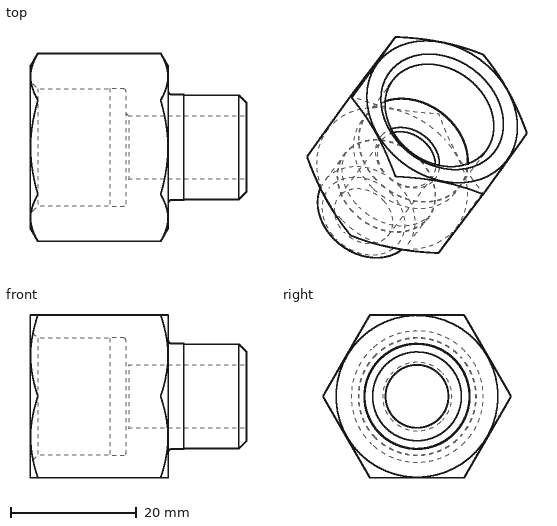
import cadquery as cq
import math

HEX_SIDES = 6
HEX_ACROSS_FLATS = 26.0
HEX_LENGTH = 22.0
HEX_EDGE_RADIUS = 0.3
HEX_FACE_DIAMETER = 25.8
HEX_CHAMFER_ANGLE = 30.0

TOTAL_LENGTH = 34.5
SPIGOT_DIAMETER = 16.662
SPIGOT_TIP_CHAMFER = 1.25
COLLAR_LENGTH = 2.5

SOCKET_DIAMETER = 18.631
SOCKET_MOUTH_DIAMETER = 21.0
SOCKET_DEPTH = 15.2
UNDERCUT_LENGTH = 2.5

RELIEF_STEP = 0.2
ROOT_RADIUS = 0.5

BORE_DIAMETER = 10.0
BORE_CHAMFER = 0.5

ARC_MIDPOINT = 1 - math.sqrt(0.5)


def make_hex_body():
    """Hexagon with flats facing +Z and -Z, long edges rounded and end corners chamfered."""
    across_corners = HEX_ACROSS_FLATS / math.cos(math.pi / HEX_SIDES)
    hexagon = cq.Workplane("YZ").polygon(HEX_SIDES, across_corners).extrude(HEX_LENGTH)
    hexagon = hexagon.edges("|X").fillet(HEX_EDGE_RADIUS)

    corner_radius = across_corners / 2
    face_radius = HEX_FACE_DIAMETER / 2
    chamfer_length = (corner_radius - face_radius) * math.tan(math.radians(HEX_CHAMFER_ANGLE))
    blank = (
        cq.Workplane("XY")
        .lineTo(0, face_radius)
        .lineTo(chamfer_length, corner_radius)
        .lineTo(HEX_LENGTH - chamfer_length, corner_radius)
        .lineTo(HEX_LENGTH, face_radius)
        .lineTo(HEX_LENGTH, 0)
        .close()
        .revolve(360, (0, 0, 0), (1, 0, 0))
    )
    return hexagon.intersect(blank)


def make_spigot():
    """Spigot with a tip chamfer, and a collar that flares into the hexagon face."""
    radius = SPIGOT_DIAMETER / 2
    collar_radius = (SPIGOT_DIAMETER + RELIEF_STEP) / 2
    collar_end = HEX_LENGTH + COLLAR_LENGTH
    flare_middle = ARC_MIDPOINT * ROOT_RADIUS
    return (
        cq.Workplane("XY")
        .moveTo(HEX_LENGTH, 0)
        .lineTo(HEX_LENGTH, collar_radius + ROOT_RADIUS)
        .threePointArc(
            (HEX_LENGTH + flare_middle, collar_radius + flare_middle),
            (HEX_LENGTH + ROOT_RADIUS, collar_radius),
        )
        .lineTo(collar_end, collar_radius)
        .lineTo(collar_end, radius)
        .lineTo(TOTAL_LENGTH - SPIGOT_TIP_CHAMFER, radius)
        .lineTo(TOTAL_LENGTH, radius - SPIGOT_TIP_CHAMFER)
        .lineTo(TOTAL_LENGTH, 0)
        .close()
        .revolve(360, (0, 0, 0), (1, 0, 0))
    )


def make_cavity():
    """Socket, its undercut with a rounded floor corner, and the through bore."""
    mouth_radius = SOCKET_MOUTH_DIAMETER / 2
    socket_radius = SOCKET_DIAMETER / 2
    undercut_radius = (SOCKET_DIAMETER + RELIEF_STEP) / 2
    bore_radius = BORE_DIAMETER / 2
    mouth_chamfer = mouth_radius - socket_radius
    undercut_start = SOCKET_DEPTH - UNDERCUT_LENGTH
    corner_middle = ARC_MIDPOINT * ROOT_RADIUS
    return (
        cq.Workplane("XY")
        .lineTo(0, mouth_radius)
        .lineTo(mouth_chamfer, socket_radius)
        .lineTo(undercut_start, socket_radius)
        .lineTo(undercut_start, undercut_radius)
        .lineTo(SOCKET_DEPTH - ROOT_RADIUS, undercut_radius)
        .threePointArc(
            (SOCKET_DEPTH - corner_middle, undercut_radius - corner_middle),
            (SOCKET_DEPTH, undercut_radius - ROOT_RADIUS),
        )
        .lineTo(SOCKET_DEPTH, bore_radius + BORE_CHAMFER)
        .lineTo(SOCKET_DEPTH + BORE_CHAMFER, bore_radius)
        .lineTo(TOTAL_LENGTH, bore_radius)
        .lineTo(TOTAL_LENGTH, 0)
        .close()
        .revolve(360, (0, 0, 0), (1, 0, 0))
    )


result = make_hex_body().union(make_spigot()).cut(make_cavity())